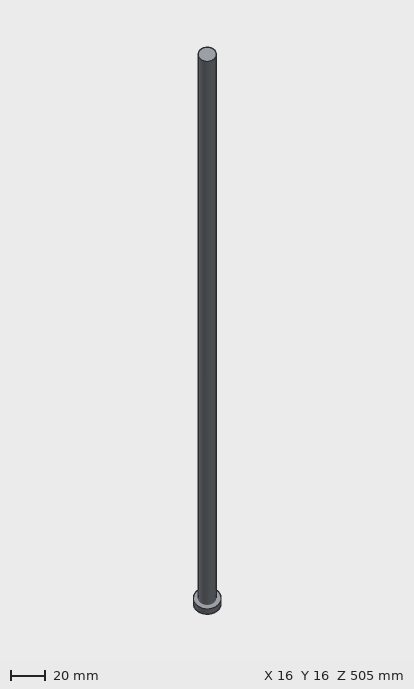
import cadquery as cq

overall_length = 505.0
head_diameter = 16.0
head_thickness = 5.0
shank_diameter = 10.5
root_fillet_radius = 0.2

shank_length = overall_length - head_thickness


def make_head():
    """Flat disc whose underside lies on Z = 0."""
    return cq.Workplane("XY").circle(head_diameter / 2).extrude(head_thickness)


def add_shank(pin):
    """Plain cylinder rising from the top face of the head."""
    return pin.faces(">Z").workplane().circle(shank_diameter / 2).extrude(shank_length)


def round_shank_root(pin):
    """Small fillet where the shank meets the head, the inner edge of the head's upper ring."""
    head_ring = pin.faces("<Z[1]")
    return head_ring.edges(cq.selectors.RadiusNthSelector(0)).fillet(root_fillet_radius)


result = round_shank_root(add_shank(make_head()))